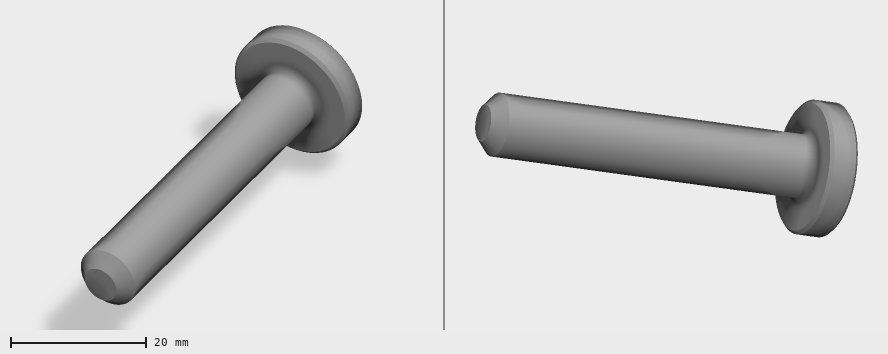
import cadquery as cq

head_diameter = 20.0
head_thickness = 4.5
head_chamfer = 0.5
shank_diameter = 9.5
shank_length = 52.0
neck_fillet_radius = 1.0
tip_chamfer = 2.0

head_radius = head_diameter / 2
shank_radius = shank_diameter / 2


def make_head():
    """Disc from the seating plane Y = 0 to the outer face, both rims chamfered."""
    disc = cq.Workplane("XZ").circle(head_radius).extrude(-head_thickness)
    return disc.edges("%CIRCLE").chamfer(head_chamfer)


def make_shank():
    """Plain cylinder from the seating plane to the tip, with a 45 degree lead-in."""
    cylinder = cq.Workplane("XZ").circle(shank_radius).extrude(shank_length)
    return cylinder.faces("<Y").edges().chamfer(tip_chamfer)


def make_neck():
    """Flared collar under the head whose concave arc blends the shank into the seating face."""
    outer_radius = shank_radius + neck_fillet_radius
    return (
        cq.Workplane("XY")
        .lineTo(outer_radius, 0)
        .radiusArc((shank_radius, -neck_fillet_radius), -neck_fillet_radius)
        .lineTo(0, -neck_fillet_radius)
        .close()
        .revolve(360, (0, 0, 0), (0, 1, 0))
    )


result = make_head().union(make_shank()).union(make_neck())